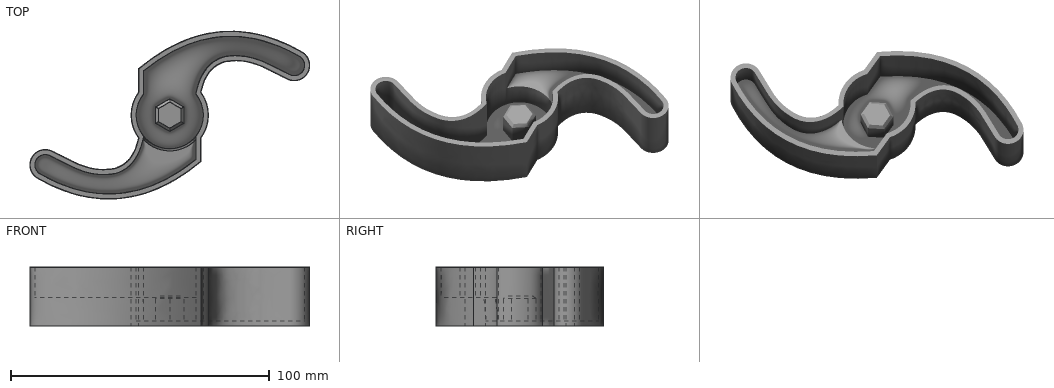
import cadquery as cq
import math

height = 22.8
wall = 2.0
floor_thickness = 2.0

hub_radius = 14.9
hub_bore_radius = hub_radius - wall

arm_half_width = 12.0
shoulder_y = 18.0
shoulder_drop = 0.4
outer_crest = (24.0, 32.5)
inner_crest = (24.9, 21.1)
tip_radius = 6.0
tip_center = (54.1 - tip_radius, 19.3)
tip_lean = math.radians(63)

tip_direction = (-math.sin(tip_lean), math.cos(tip_lean))
crest_direction = (-1, 0)
hub_direction = (-0.2, -1)

shelf_z = 11.2
shelf_edge_radius = 13.9

hex_across_flats = 10.9
hex_chamfer = 1.1
hex_height = 11.7


def tip_point(angle, radius):
    """Point on the rounded end of the arm."""
    return (
        tip_center[0] + radius * math.cos(angle),
        tip_center[1] + radius * math.sin(angle),
    )


def arm_outline(inset, hub_circle):
    """Closed outline of the +Y arm moved inwards by inset, reaching into a hub of radius hub_circle."""
    half_width = arm_half_width - inset
    hub_corner_y = math.sqrt(hub_circle**2 - half_width**2)
    radius = tip_radius - inset
    return (
        cq.Workplane("XY")
        .moveTo(-half_width, 0)
        .lineTo(-half_width, shoulder_y - inset * shoulder_drop)
        .spline(
            [(outer_crest[0], outer_crest[1] - inset), tip_point(tip_lean, radius)],
            includeCurrent=True,
        )
        .threePointArc(
            tip_point(tip_lean - math.pi / 2, radius),
            tip_point(tip_lean - math.pi, radius),
        )
        .spline(
            [(inner_crest[0], inner_crest[1] + inset), (half_width, hub_corner_y)],
            tangents=[tip_direction, crest_direction, hub_direction],
            includeCurrent=True,
        )
        .lineTo(half_width, 0)
        .close()
    )


def both_arms(arm):
    """The given arm together with its copy half a turn about Z."""
    return arm.union(arm.rotate((0, 0, 0), (0, 0, 1), 180))


def make_body():
    hub = cq.Workplane("XY").circle(hub_radius).extrude(height)
    return hub.union(both_arms(arm_outline(0, hub_radius).extrude(height)))


def make_cavity():
    depth = height - floor_thickness
    hub = cq.Workplane("XY").circle(hub_bore_radius).extrude(depth)
    arm = arm_outline(wall, hub_bore_radius).extrude(depth)
    return hub.union(both_arms(arm)).translate((0, 0, floor_thickness))


def make_shelf():
    """Solid filling of the -Y arm up to its raised floor, cut back around the hub by a cone."""
    rise = shelf_z - floor_thickness
    arm = arm_outline(0, hub_radius).extrude(shelf_z).rotate((0, 0, 0), (0, 0, 1), 180)
    hub_cone = (
        cq.Workplane("XY", origin=(0, 0, floor_thickness))
        .circle(hub_bore_radius)
        .workplane(offset=rise)
        .circle(shelf_edge_radius)
        .loft()
    )
    return arm.cut(hub_cone)


def make_hex_post():
    hex_across_corners = hex_across_flats / math.cos(math.pi / 6)
    return (
        cq.Workplane("XY")
        .polygon(6, hex_across_corners)
        .extrude(hex_height)
        .faces(">Z")
        .chamfer(hex_chamfer)
        .rotate((0, 0, 0), (0, 0, 1), 30)
    )


result = make_body().cut(make_cavity()).union(make_shelf()).union(make_hex_post())